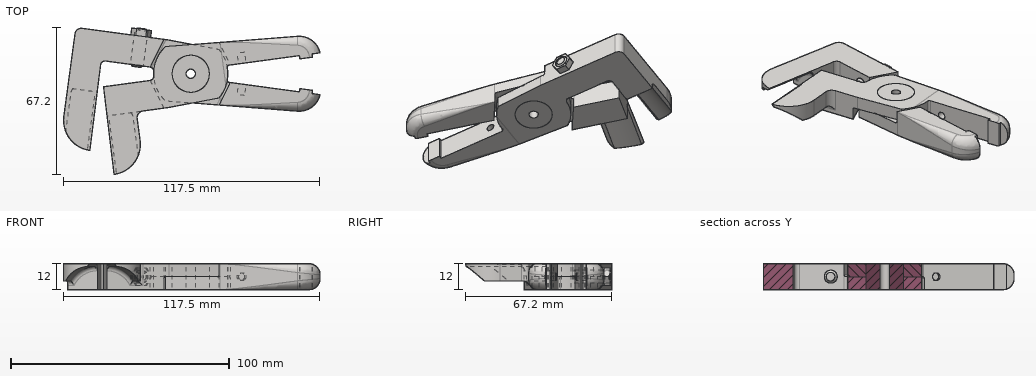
import cadquery as cq
import math


thickness = 12.0
half_thickness = thickness / 2
opening_angle = 7.7

pivot_diameter = 17.0
pivot_bore = 4.2

lap_radius = 17.0
lap_half_width = 13.33
lap_taper = math.tan(math.radians(3.2))
shoulder_distance = 18.0
shoulder_angle = 18.6
shoulder_fillet = 0.9

arm_outer = 14.0
arm_inner = 0.5
grip_x = -41.0
jaw_width = 14.0
jaw_tip_y = -41.0
jaw_arc_y = jaw_tip_y + jaw_width
upper_jaw_root_x = -41.4
lower_jaw_root_x = -40.4
upper_corner_radius = 3.0
upper_root_fillet = 2.0
lower_root_fillet = 3.0
throat_fillet = 2.0

hollow_radius = 14.35
hollow_axis_z = -half_thickness - 3.6
jaw_land_z = -half_thickness + 4.0
hollow_fillet = 2.0
edge_thickness = 0.1

handle_start = 15.2
handle_inner = 1.5
pad_start = 50.35
pad_end = 56.3
tip_x = 60.0
tip_arc_start = 50.6
handle_throat_fillet = 1.0
edge_round_start = 0.02
edge_round_middle = 4.1
edge_round_tip = 5.2
spring_hole_x = 24.0
spring_hole_diameter = 3.5
spring_hole_depth = 5.0

screw_x = -25.0
screw_diameter = 6.0
screw_chamfer = 1.0
screw_tip_projection = 0.75
screw_end_projection = 0.37
nut_across_flats = 8.0
nut_height = 3.2


def lap_side(x):
    """Half width of the lap at a distance x along the lever."""
    return lap_half_width - lap_taper * x


arm_kink_x = (lap_half_width - arm_outer) / lap_taper


def slab(outline):
    """Full-thickness plate from a closed outline."""
    return outline.close().extrude(thickness)


def sketch():
    """Workplane on the underside of the tool."""
    return cq.Workplane("XY", origin=(0, 0, -half_thickness))


def lap_plate():
    """Tapered middle of a lever, round-nosed except beside the handle."""
    disc = sketch().circle(lap_radius).extrude(thickness)
    handle_corner = (
        sketch().rect(handle_start, lap_half_width, centered=False).extrude(thickness)
    )
    wedge = slab(
        sketch()
        .moveTo(-lap_radius, -lap_side(-lap_radius))
        .lineTo(handle_start, -lap_side(handle_start))
        .lineTo(handle_start, lap_side(handle_start))
        .lineTo(-lap_radius, lap_side(-lap_radius))
    )
    return disc.union(handle_corner).intersect(wedge)


def round_outer_edges(handle):
    """Round both outer edges of the handle with a radius that grows to the tip."""
    fillet = cq.occ_impl.shapes.BRepFilletAPI_MakeFillet(handle.val().wrapped)
    for face in ("<Z", ">Z"):
        edges = handle.faces(face).edges()
        side = edges.edges(cq.NearestToPointSelector(side_middle(face))).val()
        tip = edges.edges("%CIRCLE").edges(">X").val()
        for edge, near, far in (
            (side, edge_round_start, edge_round_middle),
            (tip, edge_round_middle, edge_round_tip),
        ):
            start_is_near = edge.startPoint().x < edge.endPoint().x
            radii = (near, far) if start_is_near else (far, near)
            fillet.Add(radii[0], radii[1], edge.wrapped)
    return cq.Workplane(cq.Shape.cast(fillet.Shape()))


def side_middle(face):
    x = (handle_start + tip_arc_start) / 2
    z = half_thickness if face == ">Z" else -half_thickness
    return (x, lap_side(x), z)


def handle_bar():
    """Handle on the +Y side of the lever axis, with its share of the round nose."""
    throat_x = math.sqrt(lap_radius**2 - handle_inner**2)
    nose_y = math.sqrt(lap_radius**2 - handle_start**2)
    bar = slab(
        sketch()
        .moveTo(throat_x, handle_inner)
        .radiusArc((handle_start, -nose_y), lap_radius)
        .lineTo(handle_start, lap_side(handle_start))
        .lineTo(tip_arc_start, lap_side(tip_arc_start))
        .tangentArcPoint((tip_x, handle_inner), relative=False)
        .lineTo(pad_end, handle_inner)
        .lineTo(pad_end, 0)
        .lineTo(pad_start, 0)
        .lineTo(pad_start, handle_inner)
    )
    bar = round_outer_edges(bar)
    throat = cq.NearestToPointSelector((throat_x, handle_inner, 0))
    bar = bar.edges(throat).fillet(handle_throat_fillet)
    spring_hole = (
        cq.Workplane("XZ", origin=(spring_hole_x, handle_inner, 0))
        .circle(spring_hole_diameter / 2)
        .extrude(-spring_hole_depth)
    )
    return bar.cut(spring_hole)


def upper_arm_and_jaw():
    outer_x = grip_x - jaw_width
    arm = slab(
        sketch()
        .moveTo(0, arm_inner)
        .lineTo(0, lap_side(0))
        .lineTo(arm_kink_x, arm_outer)
        .lineTo(outer_x, arm_outer)
        .lineTo(outer_x, jaw_arc_y)
        .radiusArc((grip_x, jaw_tip_y), -jaw_width)
        .lineTo(upper_jaw_root_x, arm_inner)
    )
    arm = arm.edges(cq.NearestToPointSelector((outer_x, arm_outer, 0))).fillet(upper_corner_radius)
    root = (upper_jaw_root_x, arm_inner, 0)
    return arm.edges(cq.NearestToPointSelector(root)).fillet(upper_root_fillet)


def lower_arm_and_jaw():
    outer_x = grip_x + jaw_width
    arm = slab(
        sketch()
        .moveTo(0, -arm_inner)
        .lineTo(lower_jaw_root_x, -arm_inner)
        .lineTo(grip_x, jaw_tip_y)
        .radiusArc((outer_x, jaw_arc_y), -jaw_width)
        .lineTo(outer_x, -arm_outer)
        .lineTo(arm_kink_x, -arm_outer)
        .lineTo(0, -lap_side(0))
    )
    root = (outer_x, -arm_outer, 0)
    return arm.edges(cq.NearestToPointSelector(root)).fillet(lower_root_fillet)


def jaw_hollow():
    """Clearance under the closed jaws: a round hollow between flat lands.

    A 45 degree ridge along its crown bevels both gripping edges.
    """
    length = arm_outer - jaw_tip_y
    half_span = 2 * jaw_width
    barrel = (
        cq.Workplane("XZ", origin=(grip_x, -arm_outer, 0))
        .center(0, hollow_axis_z)
        .circle(hollow_radius)
        .extrude(length)
    )
    land = (
        cq.Workplane("XZ", origin=(grip_x, -arm_outer, 0))
        .center(0, jaw_land_z - hollow_radius)
        .rect(2 * half_span, 2 * hollow_radius)
        .extrude(length)
    )
    ridge_z = half_thickness - edge_thickness
    ridge_depth = ridge_z - hollow_axis_z
    ridge = (
        cq.Workplane("XZ", origin=(grip_x, -arm_outer, 0))
        .moveTo(0, ridge_z)
        .lineTo(ridge_depth, hollow_axis_z)
        .lineTo(-ridge_depth, hollow_axis_z)
        .close()
        .extrude(length)
    )
    hollow = barrel.union(land).union(ridge)
    return hollow.faces(">Y").edges().fillet(hollow_fillet)


def shoulder_gap(side):
    """Clearance for the other lever's lap: side +1 clears the lower half, -1 the upper."""
    gap = (
        sketch()
        .rect(2 * shoulder_distance, 4 * lap_radius)
        .extrude(half_thickness)
        .edges(">Z and |Y")
        .fillet(shoulder_fillet)
        .rotate((0, 0, 0), (0, 0, 1), shoulder_angle)
    )
    return gap if side > 0 else turn_over(gap)


def turn_over(body):
    return body.rotate((0, 0, 0), (1, 0, 0), 180)


def swing(body, direction):
    return body.rotate((0, 0, 0), (0, 0, 1), direction * opening_angle)


def assemble_lever(arm, side):
    """Join arm, lap and handle: side +1 puts the handle at +Y and the lap uppermost."""
    lap = lap_plate()
    handle = handle_bar()
    if side < 0:
        lap = turn_over(lap)
        handle = turn_over(handle)
    throat = (-math.sqrt(lap_radius**2 - arm_inner**2), -side * arm_inner, 0)
    body = arm.union(lap).edges(cq.NearestToPointSelector(throat)).fillet(throat_fillet)
    pivot_hole = sketch().circle(pivot_diameter / 2).extrude(thickness)
    gap = shoulder_gap(side)
    body = body.cut(gap).cut(jaw_hollow()).cut(pivot_hole)
    return body.union(handle.cut(gap), clean=False)


def along_screw(y):
    return cq.Workplane("XZ", origin=(screw_x, y, 0))


def upper_jaw_lever():
    lever = assemble_lever(upper_arm_and_jaw(), -1)
    screw_hole = along_screw(arm_outer).circle(screw_diameter / 2).extrude(arm_outer - arm_inner)
    return swing(lever.cut(screw_hole, clean=False), -1)


def lower_jaw_lever():
    return swing(assemble_lever(lower_arm_and_jaw(), 1), 1)


def pivot_bush():
    return sketch().circle(pivot_diameter / 2).circle(pivot_bore / 2).extrude(thickness)


def stop_screw():
    top = arm_outer + nut_height + screw_end_projection
    length = top - arm_inner + screw_tip_projection
    screw = along_screw(top).circle(screw_diameter / 2).extrude(length)
    return swing(screw.edges("%CIRCLE").chamfer(screw_chamfer), -1)


def lock_nut():
    across_corners = nut_across_flats / math.cos(math.radians(30))
    nut = (
        along_screw(arm_outer + nut_height)
        .polygon(6, across_corners)
        .circle(screw_diameter / 2)
        .extrude(nut_height)
    )
    return swing(nut, -1)


result = cq.Compound.makeCompound([
    upper_jaw_lever().val(),
    lower_jaw_lever().val(),
    pivot_bush().val(),
    stop_screw().val(),
    lock_nut().val(),
])